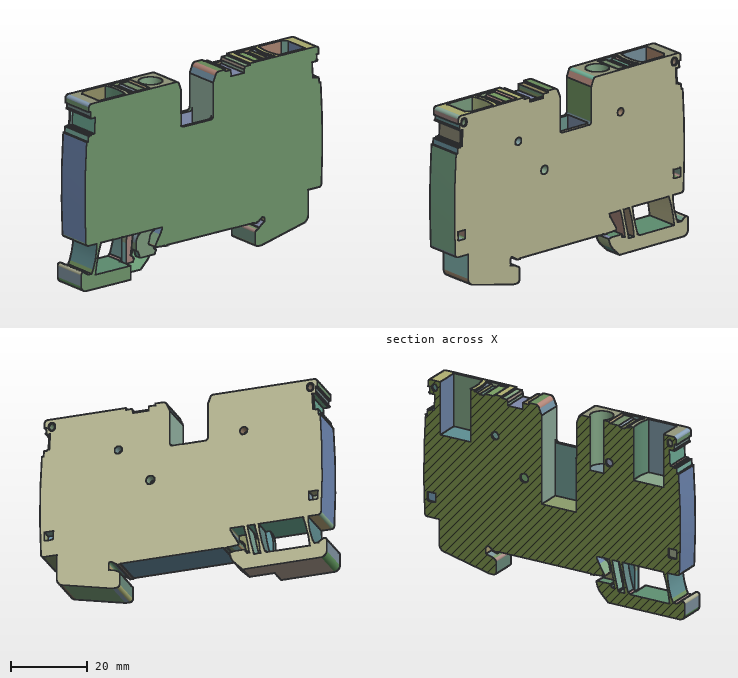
import cadquery as cq

WIDTH = 10.0
HEIGHT = 51.45
FOOT_END_Y = -40.68

SIDE_BULGE_Y = 39.4
SIDE_BULGE_Z = 25.0
HOUSING_BOTTOM = 12.35
RAIL_SEAT_Z = 7.06
SLOT_FLOOR_Z = 38.6
SLOT_LEFT_Y = 3.1
SLOT_RIGHT_Y = -7.5
SLOT_FILLET = 0.8

CHANNEL_WALL_NEAR = 1.2
CHANNEL_WALL_FAR = 0.75
CHANNEL_END_WALL = 0.25
CHANNEL_DEPTH = 15.0

MARKER_STEP_WIDTH = 0.25
MARKER_STEP_SINK = 0.35
MARKER_RIM_WIDTH = 0.5
MARKER_POCKET_SINK = 0.9

TOP_WALL = 0.75
WIRE_END_Y = 34.2
WIRE_EDGE_Y = 25.5
WIRE_ARC_Y = 24.8
WIRE_CHAMFER = 1.3
WIRE_DEPTH = 15.0
LEVER_START_Y = 17.36
LEVER_EDGE_Y = 24.2
LEVER_ARC_Y = 23.5
LEVER_DEPTH = 0.45
LEVER_GROOVE_DEPTH = 0.95
LEVER_MAX_DEPTH = 2.0
LEVER_FLOOR_Y = 17.97
LEVER_GROOVE_Y = (20.5, 21.0, 22.2, 22.7)
TEST_HOLE_Y = -13.75
TEST_HOLE_DIAMETER = 6.3
TEST_HOLE_DEPTH = 15.0

PIN_Y = 17.5
PIN_Z = 39.74
PIN_DIAMETER = 2.1
CENTRE_PIN_Y = 8.57
CENTRE_PIN_Z = 29.73
CENTRE_PIN_DIAMETER = 2.4
CORNER_SLOT_Y = 36.06
CORNER_SLOT_Z = 49.33
CORNER_SLOT_WIDTH = 1.5
CORNER_SLOT_HEIGHT = 1.95
CORNER_SLOT_CHAMFER = 0.2
SQUARE_Y = 36.92
SQUARE_Z = 18.15
SQUARE_SIZE = 2.5
SQUARE_FILLET = 0.45
BLIND_DEPTH = 3.0

NUB_CENTRES_Y = (17.4, -12.4)
NUB_WIDTH = 1.0
NUB_HEIGHT = 0.2

FOOT_FLOOR_Z = 3.9
FOOT_NOTCH_X = 5.2
FOOT_NOTCH_Y = -24.2
GUIDE_NEAR_X = 5.4
GUIDE_FAR_X = 7.3
RAIL_GUIDE_BOTTOM = 4.2
RAIL_GUIDE_RIGHT_Y = -20.3
MIDDLE_GUIDE_BOTTOM = 3.6
MIDDLE_GUIDE_RIGHT_Y = -23.67
SPRING_ROOT_Z = 3.7
HOOK_INNER_Y = 20.2
HOOK_TIP_Y = 17.1
LEG_END_Y = 34.7
OVERLAP = 0.3


def side_plate(outline, x_from=0.0, x_to=WIDTH):
    """Extrude a closed YZ outline between two X positions."""
    return outline.close().extrude(x_to - x_from).translate((x_from, 0, 0))


def side_polygon(points, x_from=0.0, x_to=WIDTH):
    return side_plate(cq.Workplane("YZ").polyline(points), x_from, x_to)


def mirror_y(points):
    return [(-y, z) for y, z in points]


def block(x_range, y_range, z_range):
    """Box given by its limits along each axis."""
    size = [limits[1] - limits[0] for limits in (x_range, y_range, z_range)]
    corner = (x_range[0], y_range[0], z_range[0])
    return cq.Workplane("XY").box(*size, centered=False).translate(corner)


END_ROUND = [(37.15, HEIGHT), (37.8, 51.2), (38.1, 50.6)]
MARKER_TOP = (36.9, 47.35)
MARKER_BOTTOM = (37.15, 42.95)
END_STEPS = [
    (38.1, 49.24), (37.55, 49.24), (37.55, 47.85), (37.85, 47.6), (37.45, 47.35),
    MARKER_TOP, MARKER_BOTTOM,
    (37.5, 42.7), (38.2, 42.7), (38.4, 41.15), (38.85, 41.15),
]
END_BULGE = (SIDE_BULGE_Y, SIDE_BULGE_Z)
END_LOW = (39.1, 13.2)
END_LOW_ROUND = (38.85, 12.6)
END_BOTTOM = (38.3, HOUSING_BOTTOM)

TOP_GROOVE_LEFT = (13.45, 50.1)
TOP_GROOVE_RIGHT = (9.05, 50.1)


def make_housing():
    right_round = mirror_y(END_ROUND)
    outline = (
        cq.Workplane("YZ")
        .moveTo(*END_BOTTOM)
        .threePointArc(END_LOW_ROUND, END_LOW)
        .threePointArc(END_BULGE, END_STEPS[-1])
    )
    for point in reversed(END_STEPS[:-1]):
        outline = outline.lineTo(*point)
    outline = outline.lineTo(*END_ROUND[2]).threePointArc(END_ROUND[1], END_ROUND[0])

    groove = [
        (15.4, HEIGHT), (15.4, 50.93), (13.75, 50.93), TOP_GROOVE_LEFT,
        TOP_GROOVE_RIGHT, (9.0, 50.93), (7.2, 50.93), (7.2, HEIGHT), (4.9, HEIGHT),
    ]
    for point in groove:
        outline = outline.lineTo(*point)

    outline = (
        outline.threePointArc((4.2, 51.05), (3.85, 50.4))
        .lineTo(SLOT_LEFT_Y, 48.7)
        .lineTo(SLOT_LEFT_Y, SLOT_FLOOR_Z)
        .lineTo(SLOT_RIGHT_Y, SLOT_FLOOR_Z)
        .lineTo(SLOT_RIGHT_Y, 49.0)
        .lineTo(-8.15, 50.75)
        .threePointArc((-8.5, 51.25), (-9.1, HEIGHT))
    )

    outline = outline.lineTo(*right_round[0]).threePointArc(right_round[1], right_round[2])
    for point in mirror_y(END_STEPS):
        outline = outline.lineTo(*point)
    outline = (
        outline.threePointArc(*mirror_y([END_BULGE, END_LOW]))
        .threePointArc(*mirror_y([END_LOW_ROUND, END_BOTTOM]))
    )

    outline = (
        outline.lineTo(-14.1, HOUSING_BOTTOM)
        .threePointArc((-13.8, 12.25), (-13.75, 11.9))
        .lineTo(-14.5, 10.45)
        .lineTo(-16.05, 7.75)
        .threePointArc((-16.05, 7.35), (-15.65, 7.2))
        .lineTo(-14.1, RAIL_SEAT_Z)
        .lineTo(18.0, RAIL_SEAT_Z)
    )

    outline = (
        outline.lineTo(19.2, 7.85)
        .threePointArc((19.85, 7.95), (HOOK_INNER_Y, 7.5))
        .lineTo(HOOK_INNER_Y, 5.8)
        .lineTo(18.4, 5.3)
        .lineTo(17.7, 4.95)
        .threePointArc((17.25, 4.65), (HOOK_TIP_Y, 4.2))
        .lineTo(HOOK_TIP_Y, 1.1)
        .threePointArc((17.4, 0.55), (18.0, 0.3))
        .lineTo(19.2, 0.3)
        .lineTo(33.0, 3.45)
        .threePointArc((34.2, 4.1), (LEG_END_Y, 5.5))
        .lineTo(LEG_END_Y, HOUSING_BOTTOM)
    )
    housing = side_plate(outline)

    slot_corners = cq.selectors.BoxSelector(
        (-OVERLAP, SLOT_RIGHT_Y - OVERLAP, SLOT_FLOOR_Z - OVERLAP),
        (WIDTH + OVERLAP, SLOT_LEFT_Y + OVERLAP, SLOT_FLOOR_Z + OVERLAP),
    )
    corner_edges = housing.edges("|X").edges(slot_corners)
    return corner_edges.fillet(SLOT_FILLET)


def make_marker_cut(x_from, x_to, sink):
    """Deepen the two end recesses and the top groove between two X positions."""
    top_y, top_z = MARKER_TOP
    bottom_y, bottom_z = MARKER_BOTTOM
    end_cut = [
        (top_y + OVERLAP, top_z), (top_y - sink, top_z),
        (bottom_y - sink, bottom_z), (bottom_y + OVERLAP, bottom_z),
    ]
    groove_floor = TOP_GROOVE_LEFT[1]
    groove_cut = block(
        (x_from, x_to),
        (TOP_GROOVE_RIGHT[0], TOP_GROOVE_LEFT[0]),
        (groove_floor - sink, groove_floor + OVERLAP),
    )
    return (
        groove_cut
        .union(side_polygon(end_cut, x_from, x_to))
        .union(side_polygon(mirror_y(end_cut), x_from, x_to))
    )


def make_wire_opening(side):
    """Funnel with one bevelled corner and a bowed inner wall; side is +1 or -1 along Y."""
    near_x = TOP_WALL
    far_x = WIDTH - TOP_WALL
    return (
        cq.Workplane("XY", origin=(0, 0, HEIGHT - WIRE_DEPTH))
        .moveTo(near_x, side * WIRE_EDGE_Y)
        .threePointArc((WIDTH / 2, side * WIRE_ARC_Y), (far_x, side * WIRE_EDGE_Y))
        .lineTo(far_x, side * WIRE_END_Y)
        .lineTo(near_x + WIRE_CHAMFER, side * WIRE_END_Y)
        .lineTo(near_x, side * (WIRE_END_Y - WIRE_CHAMFER))
        .close()
        .extrude(WIRE_DEPTH)
    )


def make_lever_pocket(side):
    """Shallow pocket with a cross groove in its floor, ending in a bowed wall."""
    near_x = TOP_WALL
    far_x = WIDTH - TOP_WALL
    plan = (
        cq.Workplane("XY", origin=(0, 0, HEIGHT - LEVER_MAX_DEPTH))
        .moveTo(near_x, side * LEVER_START_Y)
        .lineTo(near_x, side * LEVER_EDGE_Y)
        .threePointArc((WIDTH / 2, side * LEVER_ARC_Y), (far_x, side * LEVER_EDGE_Y))
        .lineTo(far_x, side * LEVER_START_Y)
        .close()
        .extrude(LEVER_MAX_DEPTH)
    )
    floor_z = HEIGHT - LEVER_DEPTH
    groove_z = HEIGHT - LEVER_GROOVE_DEPTH
    rim_in, floor_in, floor_out, rim_out = LEVER_GROOVE_Y
    profile = [
        (LEVER_START_Y, HEIGHT), (LEVER_FLOOR_Y, floor_z), (rim_in, floor_z),
        (floor_in, groove_z), (floor_out, groove_z), (rim_out, floor_z),
        (LEVER_EDGE_Y, floor_z), (LEVER_EDGE_Y, HEIGHT),
    ]
    return plan.intersect(side_polygon([(side * y, z) for y, z in profile]))


def make_test_hole():
    return (
        cq.Workplane("XY", origin=(WIDTH / 2, TEST_HOLE_Y, HEIGHT - TEST_HOLE_DEPTH))
        .circle(TEST_HOLE_DIAMETER / 2)
        .extrude(TEST_HOLE_DEPTH)
    )


def make_bridge_channel():
    return block(
        (CHANNEL_WALL_NEAR, WIDTH - CHANNEL_WALL_FAR),
        (SLOT_RIGHT_Y + CHANNEL_END_WALL, SLOT_LEFT_Y),
        (SLOT_FLOOR_Z - CHANNEL_DEPTH, SLOT_FLOOR_Z + SLOT_FILLET),
    )


def make_side_holes():
    """Blind pin, corner and square holes entering from the -X side."""
    side_face = cq.Workplane("YZ")
    holes = (
        side_face.center(CENTRE_PIN_Y, CENTRE_PIN_Z)
        .circle(CENTRE_PIN_DIAMETER / 2)
        .extrude(BLIND_DEPTH)
    )
    for side in (1, -1):
        pin = side_face.center(side * PIN_Y, PIN_Z).circle(PIN_DIAMETER / 2).extrude(BLIND_DEPTH)
        corner = (
            side_face.center(side * CORNER_SLOT_Y, CORNER_SLOT_Z)
            .ellipse(CORNER_SLOT_WIDTH / 2, CORNER_SLOT_HEIGHT / 2)
            .extrude(BLIND_DEPTH)
        )
        corner_rim = (
            side_face.center(side * CORNER_SLOT_Y, CORNER_SLOT_Z)
            .ellipse(
                CORNER_SLOT_WIDTH / 2 + CORNER_SLOT_CHAMFER,
                CORNER_SLOT_HEIGHT / 2 + CORNER_SLOT_CHAMFER,
            )
            .extrude(CORNER_SLOT_CHAMFER)
        )
        square = (
            side_face.center(side * SQUARE_Y, SQUARE_Z)
            .rect(SQUARE_SIZE, SQUARE_SIZE)
            .extrude(BLIND_DEPTH)
            .edges("|X and <Z")
            .fillet(SQUARE_FILLET)
        )
        holes = holes.union(pin).union(corner).union(corner_rim).union(square)
    return holes


def make_nub(centre_y):
    return block(
        (0, WIDTH),
        (centre_y - NUB_WIDTH / 2, centre_y + NUB_WIDTH / 2),
        (RAIL_SEAT_Z - NUB_HEIGHT, RAIL_SEAT_Z + OVERLAP),
    )


def make_spring(inner, outer):
    """Bowed leg; inner and outer are its edges as (top, middle, bottom) points."""
    outline = (
        cq.Workplane("YZ")
        .moveTo(*inner[0])
        .threePointArc(inner[1], inner[2])
        .lineTo(*outer[2])
        .threePointArc(outer[1], outer[0])
    )
    return side_plate(outline)


def make_foot():
    """Release foot hanging from the housing on three springs."""
    spring_top = HOUSING_BOTTOM + OVERLAP
    outline = (
        cq.Workplane("YZ")
        .moveTo(-13.46, 5.3)
        .threePointArc((-14.0, 3.6), (-14.9, 2.25))
        .lineTo(-17.2, 0)
        .lineTo(-39.1, 0)
        .threePointArc((-40.2, 0.5), (FOOT_END_Y, 1.6))
        .lineTo(FOOT_END_Y, 4.7)
        .threePointArc((-39.93, 5.45), (-39.4, 5.23))
        .lineTo(-38.3, 4.4)
        .lineTo(-37.2, 4.4)
        .lineTo(-36.7, 5.46)
        .lineTo(-35.95, 5.0)
        .lineTo(-35.95, FOOT_FLOOR_Z)
        .lineTo(-24.0, FOOT_FLOOR_Z)
        .lineTo(-23.5, 4.4)
        .lineTo(-22.5, FOOT_FLOOR_Z)
        .lineTo(-20.4, FOOT_FLOOR_Z)
        .lineTo(-20.0, 4.6)
        .lineTo(-18.4, 4.6)
        .lineTo(-18.0, 5.1)
        .lineTo(-18.0, 5.58)
        .lineTo(-14.5, 5.58)
    )
    foot = side_plate(outline)

    rail_spring = make_spring(
        [(-17.35, spring_top), (-18.3, 9.0), (-19.05, 4.5)],
        [(-18.45, spring_top), (-19.15, 9.0), (-20.3, 4.2)],
    )
    middle_spring = make_spring(
        [(-20.35, spring_top), (-21.45, 8.7), (-22.15, SPRING_ROOT_Z)],
        [(-21.6, spring_top), (-22.2, 8.7), (-23.6, SPRING_ROOT_Z)],
    )
    end_spring = make_spring(
        [(-33.95, spring_top), (-35.1, 8.7), (-35.95, SPRING_ROOT_Z)],
        [(-35.45, spring_top), (-35.8, 8.9), (-36.7, 5.46)],
    )
    foot = foot.union(rail_spring).union(middle_spring).union(end_spring)
    notch = block((FOOT_NOTCH_X, WIDTH), (FOOT_NOTCH_Y, 0), (-OVERLAP, spring_top))
    return foot.cut(notch)


def make_guides():
    """Curved ribs that hang from the housing inside the notch of the foot."""
    guide_top = HOUSING_BOTTOM + OVERLAP
    rail_guide = (
        cq.Workplane("YZ")
        .moveTo(-14.27, guide_top)
        .lineTo(-14.27, 10.93)
        .threePointArc((-15.3, 10.3), (-15.8, 9.2))
        .lineTo(-16.15, 7.6)
        .lineTo(-14.43, RAIL_SEAT_Z)
        .threePointArc((-14.45, 6.2), (-13.6, 5.4))
        .lineTo(-14.2, RAIL_GUIDE_BOTTOM)
        .lineTo(-19.0, RAIL_GUIDE_BOTTOM)
        .lineTo(-19.7, 6.1)
        .lineTo(RAIL_GUIDE_RIGHT_Y, 6.4)
        .lineTo(RAIL_GUIDE_RIGHT_Y, 8.6)
        .threePointArc((-19.8, 10.3), (-18.6, 11.3))
        .lineTo(-18.4, guide_top)
    )
    middle_guide = (
        cq.Workplane("YZ")
        .moveTo(-21.1, guide_top)
        .lineTo(-22.2, 5.7)
        .lineTo(-21.9, 5.46)
        .lineTo(-20.94, 4.5)
        .lineTo(-21.4, MIDDLE_GUIDE_BOTTOM)
        .lineTo(MIDDLE_GUIDE_RIGHT_Y, MIDDLE_GUIDE_BOTTOM)
        .lineTo(MIDDLE_GUIDE_RIGHT_Y, 9.3)
        .threePointArc((-23.35, 11.1), (-22.7, guide_top))
    )
    guides = side_plate(rail_guide, GUIDE_NEAR_X, GUIDE_FAR_X)
    return guides.union(side_plate(middle_guide, GUIDE_NEAR_X, GUIDE_FAR_X))


def make_hook_web():
    """Small wedge in the throat of the fixed rail hook, on the +X half."""
    back_y = HOOK_INNER_Y + OVERLAP
    wedge = [(back_y, 7.0), (18.4, 5.45), (18.4, 5.2), (back_y, 5.7)]
    return side_polygon(wedge, FOOT_NOTCH_X, WIDTH)


terminal = make_housing()
terminal = terminal.cut(make_marker_cut(0, MARKER_STEP_WIDTH, MARKER_STEP_SINK))
terminal = terminal.cut(make_marker_cut(MARKER_RIM_WIDTH, WIDTH, MARKER_POCKET_SINK))
for end in (1, -1):
    terminal = terminal.cut(make_wire_opening(end))
    terminal = terminal.cut(make_lever_pocket(end))
terminal = terminal.cut(make_test_hole())
terminal = terminal.cut(make_bridge_channel())
terminal = terminal.cut(make_side_holes())
for nub_y in NUB_CENTRES_Y:
    terminal = terminal.union(make_nub(nub_y))
terminal = terminal.union(make_foot())
terminal = terminal.union(make_guides())
result = terminal.union(make_hook_web())